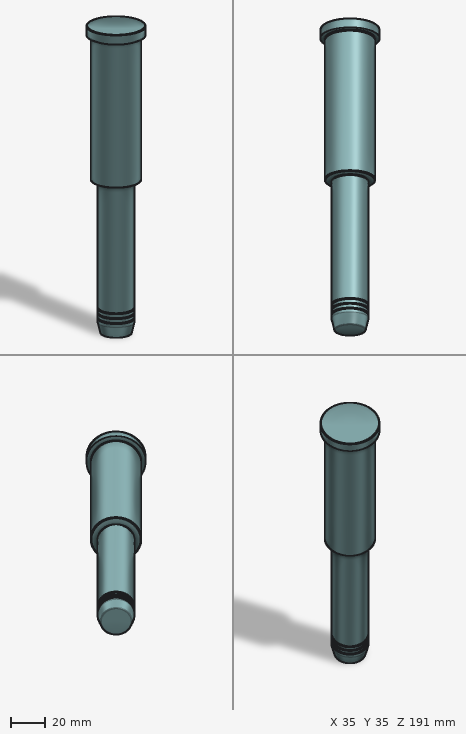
import cadquery as cq

total_length = 191.0

head_diameter = 35.0
head_thickness = 6.0
head_chamfer = 0.5

body_diameter = 30.0
body_bottom_z = 95.0
body_chamfer = 0.5

head_neck_diameter = 29.2
head_neck_length = 1.1

pin_neck_diameter = 20.5
pin_neck_length = 1.0

pin_diameter = 22.0
tip_diameter = 18.5
tip_length = 7.3
tip_fillet = 0.5

groove_count = 3
groove_width = 0.8
groove_depth = 0.29
groove_pitch = 3.0
lowest_groove_z = 9.5


def cylinder(diameter, bottom_z, top_z):
    """Solid round bar on the Z axis between two heights."""
    return cq.Workplane("XY").workplane(offset=bottom_z).circle(diameter / 2).extrude(top_z - bottom_z)


def make_head():
    head = cylinder(head_diameter, total_length - head_thickness, total_length)
    return head.faces(">Z").chamfer(head_chamfer)


def make_body():
    head_bottom_z = total_length - head_thickness
    body_top_z = head_bottom_z - head_neck_length
    body = cylinder(body_diameter, body_bottom_z, body_top_z).faces("<Z").chamfer(body_chamfer)
    return body.union(cylinder(head_neck_diameter, body_top_z, head_bottom_z))


def make_pin():
    pin_top_z = body_bottom_z - pin_neck_length
    pin = cylinder(pin_diameter, tip_length, pin_top_z)
    neck = cylinder(pin_neck_diameter, pin_top_z, body_bottom_z)
    tip = (
        cq.Workplane("XY")
        .circle(tip_diameter / 2)
        .workplane(offset=tip_length)
        .circle(pin_diameter / 2)
        .loft(ruled=True)
        .faces("<Z")
        .edges()
        .fillet(tip_fillet)
    )
    return pin.union(neck).union(tip)


def make_groove_ring(center_z):
    """Ring of material removed by one groove."""
    bottom_z = center_z - groove_width / 2
    top_z = center_z + groove_width / 2
    core = cylinder(pin_diameter - 2 * groove_depth, bottom_z, top_z)
    return cylinder(body_diameter, bottom_z, top_z).cut(core)


result = make_head().union(make_body()).union(make_pin())
for index in range(groove_count):
    result = result.cut(make_groove_ring(lowest_groove_z + index * groove_pitch))